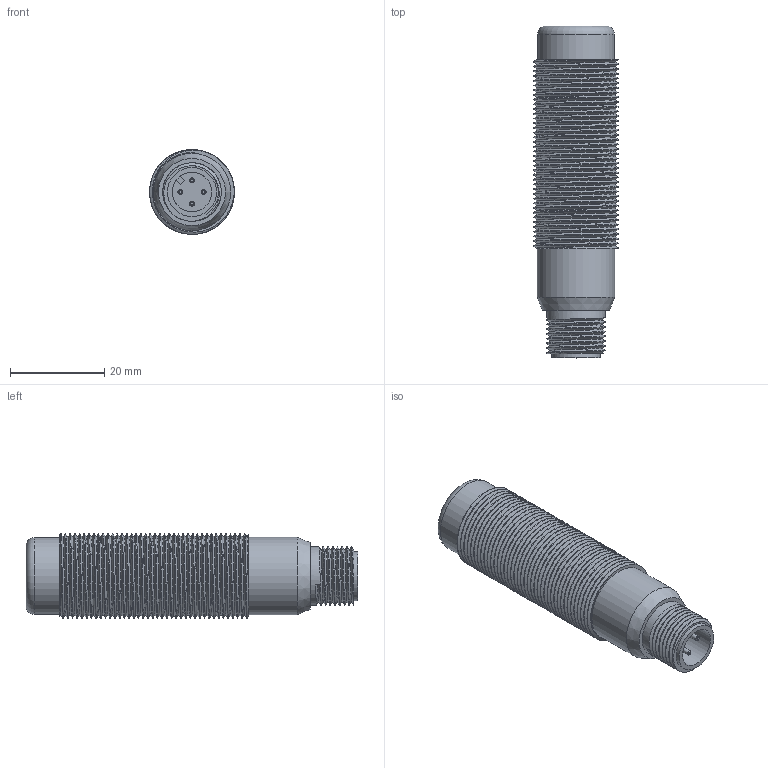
import cadquery as cq
import math

total_length = 70.4
nose_length = 7.2
body_thread_length = 40.0
body_thread_end = total_length - nose_length
body_thread_start = body_thread_end - body_thread_length
plug_end = 10.1
taper_length = 2.75
taper_end = plug_end + taper_length
end_ring_length = 0.9

body_thread_radius = 9.0
body_radius = 8.2
nose_radius = 8.15
taper_small_radius = 7.1
plug_thread_radius = 6.2
end_ring_radius = 5.2
nose_fillet_radius = 1.75

thread_pitch = 1.0
thread_depth = 0.6134 * thread_pitch
crest_flat = thread_pitch / 8
flank_slope = math.tan(math.radians(30))
groove_overshoot = 0.08
groove_start_angle = 60.0

body_thread_sections = 5
section_length = body_thread_length / body_thread_sections
section_groove_turns = round(section_length / thread_pitch) + 2
body_thread_angle = 144.0

plug_groove_turns = 9
plug_groove_end = 8.55
plug_groove_end_angle = 162.5

socket_radius = 4.2
socket_depth = 8.5
pin_radius = 0.5
pin_circle_radius = 2.5
pin_length = 6.5
pin_tip_chamfer = 0.2
pin_count = 4
key_width = 1.2
key_inner_radius = 2.85
key_angle = 135.0
key_length = 7.0
wall_overlap = 0.4


def cylinder(radius, start, length):
    """Round bar along Z."""
    return cq.Workplane("XY").workplane(offset=start).circle(radius).extrude(length)


def thread_groove(crest_radius, start, turns):
    """Right-handed helical V groove that starts and ends at groove_start_angle."""
    root_radius = crest_radius - thread_depth
    outer_radius = crest_radius + groove_overshoot
    half_mouth = (thread_pitch - crest_flat) / 2
    half_root = half_mouth - thread_depth * flank_slope
    half_outer = half_mouth + groove_overshoot * flank_slope
    helix = cq.Wire.makeHelix(thread_pitch, turns * thread_pitch, crest_radius)
    profile = cq.Workplane("XZ").polyline(
        [
            (root_radius, -half_root),
            (outer_radius, -half_outer),
            (outer_radius, half_outer),
            (root_radius, half_root),
        ]
    )
    groove = profile.close().sweep(cq.Workplane(obj=helix), isFrenet=True)
    return groove.rotate((0, 0, 0), (0, 0, 1), groove_start_angle).translate((0, 0, start))


def body_thread():
    """Threaded middle of the body, stacked from identical sections."""
    groove = thread_groove(body_thread_radius, -thread_pitch, section_groove_turns)
    section = cylinder(body_thread_radius, 0, section_length).cut(groove)
    section = section.rotate((0, 0, 0), (0, 0, 1), body_thread_angle - groove_start_angle)
    sections = [
        section.translate((0, 0, body_thread_start + index * section_length)).val()
        for index in range(body_thread_sections)
    ]
    thread = sections[0].fuse(*sections[1:], glue=True)
    return cq.Workplane(obj=thread)


def nose():
    """Plain sensing end with a rounded rim."""
    bar = cylinder(nose_radius, body_thread_end, nose_length)
    return bar.faces(">Z").edges().fillet(nose_fillet_radius)


def shank():
    """Plain body between the thread and the plug, tapered towards the plug."""
    profile = (
        cq.Workplane("XZ")
        .moveTo(0, plug_end)
        .lineTo(taper_small_radius, plug_end)
        .lineTo(body_radius, taper_end)
        .lineTo(body_radius, body_thread_start)
        .lineTo(0, body_thread_start)
        .close()
    )
    return profile.revolve(360, (0, 0, 0), (0, 1, 0))


def contact_pins():
    """Round pins standing on the socket floor."""
    return (
        cq.Workplane("XY")
        .workplane(offset=socket_depth - pin_length)
        .polarArray(pin_circle_radius, 0, 360, pin_count)
        .circle(pin_radius)
        .extrude(pin_length + wall_overlap)
        .faces("<Z")
        .edges()
        .chamfer(pin_tip_chamfer)
    )


def key_rib():
    """Coding rib along the socket wall, rising from the socket floor."""
    outer_radius = socket_radius + wall_overlap
    return (
        cq.Workplane("XY")
        .workplane(offset=socket_depth - key_length)
        .center((key_inner_radius + outer_radius) / 2, 0)
        .rect(outer_radius - key_inner_radius, key_width)
        .extrude(key_length + wall_overlap)
        .rotate((0, 0, 0), (0, 0, 1), -key_angle)
    )


def plug():
    """Threaded connector plug with its socket, pins and coding rib."""
    groove_start = plug_groove_end - plug_groove_turns * thread_pitch
    groove = thread_groove(plug_thread_radius, groove_start, plug_groove_turns)
    threaded = cylinder(plug_thread_radius, end_ring_length, plug_end - end_ring_length).cut(groove)
    threaded = threaded.rotate((0, 0, 0), (0, 0, 1), plug_groove_end_angle - groove_start_angle)
    body = threaded.union(cylinder(end_ring_radius, 0, plug_end), clean=False)
    body = body.cut(cylinder(socket_radius, 0, socket_depth))
    return body.union(contact_pins(), clean=False).union(key_rib(), clean=False)


part = shank().union(body_thread(), clean=False).union(nose(), clean=False).union(plug(), clean=False)
laid_down = part.rotate((0, 0, 0), (1, 0, 0), -90)
result = cq.Workplane(obj=laid_down.val().Solids()[0])